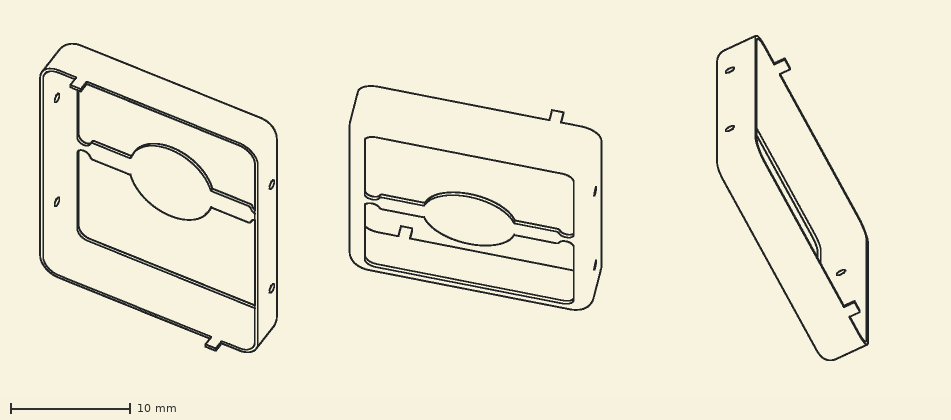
import cadquery as cq
import math

width = 21.0
height = 25.0
wall = 0.3
corner_radius = 1.8
back_edge_radius = 1.0
back_y = 2.5
body_depth = 4.0
rim_y = back_y - body_depth

border = 1.5
window_radius = 1.0

disc_radius = 4.0
strap_width = 2.0
neck_width = 0.7
notch_radius = 0.65
shoulder_radius = 0.25

tab_width = 1.0
tab_length = 1.0
tab_offset = 3.5
hole_diameter = 0.8
hole_spacing = 12.5
hole_from_back = 1.6


def block(size_x, size_z, front_y, rear_y):
    """Box centred on the Y axis, between two Y positions."""
    depth = rear_y - front_y
    return cq.Workplane("XY").box(size_x, depth, size_z).translate((0, front_y + depth / 2, 0))


def rounded_block(inset, front_y, rear_y, rear_radius):
    """Frame outline moved inwards, with rounded corners and a rounded back edge."""
    body = block(width - 2 * inset, height - 2 * inset, front_y, rear_y)
    body = body.edges("|Y").fillet(corner_radius - inset)
    return body.faces(">Y").edges().fillet(rear_radius)


def make_tray():
    outer = rounded_block(0, rim_y, back_y, back_edge_radius)
    cavity = rounded_block(wall, rim_y, back_y - wall, back_edge_radius - wall)
    return outer.cut(cavity)


def point_on_circle(center, radius, angle):
    return (center[0] + radius * math.cos(angle), center[1] + radius * math.sin(angle))


def make_half_strap():
    """Strap from the part centre to the +X side of the window, with its neck."""
    window_side = width / 2 - border
    strap_edge = strap_width / 2

    notch = (window_side - notch_radius, neck_width / 2 + notch_radius)
    shoulder_z = strap_edge - shoulder_radius
    center_distance = notch_radius + shoulder_radius
    join_angle = math.asin((notch[1] - shoulder_z) / center_distance)
    shoulder = (notch[0] - center_distance * math.cos(join_angle), shoulder_z)
    shoulder_middle = (join_angle + math.pi / 2) / 2

    quarter = (
        cq.Workplane("XZ", origin=(0, back_y, 0))
        .lineTo(0, strap_edge)
        .lineTo(shoulder[0], strap_edge)
        .threePointArc(
            point_on_circle(shoulder, shoulder_radius, shoulder_middle),
            point_on_circle(shoulder, shoulder_radius, join_angle),
        )
        .threePointArc(
            (notch[0], neck_width / 2),
            (window_side, notch[1]),
        )
        .lineTo(window_side, 0)
        .close()
        .extrude(wall)
    )
    return quarter.union(quarter.mirror("XY"))


def make_window():
    """Cutter for the window, leaving the disc and its necked strap."""
    window = block(width - 2 * border, height - 2 * border, back_y - wall, back_y)
    window = window.edges("|Y").fillet(window_radius)
    disc = cq.Workplane("XZ", origin=(0, back_y, 0)).circle(disc_radius).extrude(wall)
    half_strap = make_half_strap()
    return window.cut(disc).cut(half_strap).cut(half_strap.mirror("YZ"))


def make_tab(side):
    """Tab continuing the top (side = 1) or bottom (side = -1) wall past the rim."""
    tab = block(tab_width, wall, rim_y - tab_length, rim_y + wall)
    tab_x = -side * (width / 2 - tab_offset - tab_width / 2)
    tab_z = side * (height - wall) / 2
    return tab.translate((tab_x, 0, tab_z))


def make_pin_holes():
    """Two cylinders along X that pierce both side walls."""
    hole_y = back_y - hole_from_back
    return (
        cq.Workplane("YZ")
        .pushPoints([(hole_y, -hole_spacing / 2), (hole_y, hole_spacing / 2)])
        .circle(hole_diameter / 2)
        .extrude(width / 2, both=True)
    )


result = make_tray().cut(make_window()).cut(make_pin_holes())
for wall_side in (-1, 1):
    result = result.union(make_tab(wall_side))